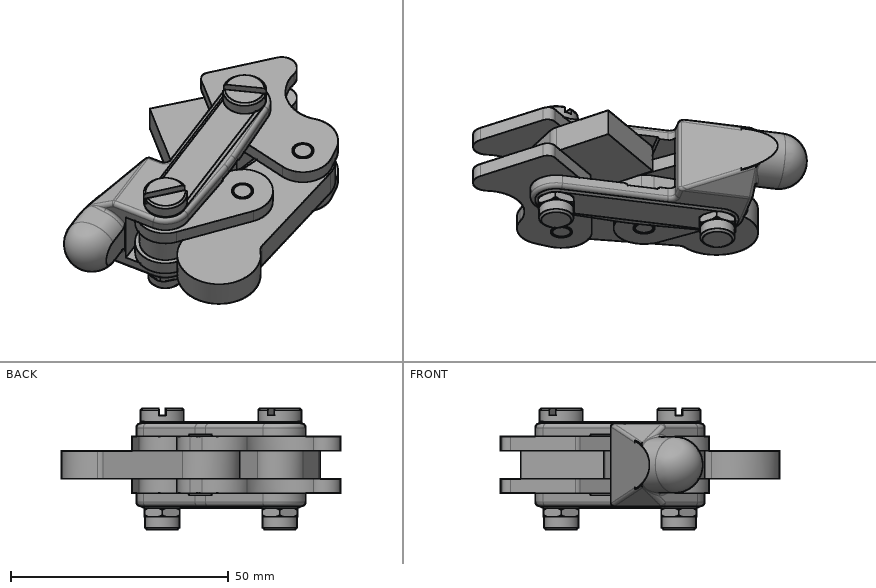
import cadquery as cq
import math


ARM_HALF = 3.2
PLATE_TOP = 6.5
LEVER_TOP = 9.55
RIB_TOP = 9.95
HEAD_TOP = 13.05
NUT_BOTTOM = -11.95
SCREW_BOTTOM = -15.0

SCREW_SPACING = 38.05
LEVER_ANGLE = -44.7
SCREW_A = (0, 0)
SCREW_B = (
    SCREW_SPACING * math.cos(math.radians(LEVER_ANGLE)),
    SCREW_SPACING * math.sin(math.radians(LEVER_ANGLE)),
)
BASE_PIN = (16.7, 9.1)
LINK_PIN = (25.4, -7.8)
PIN_RADIUS = 2.35
PIN_RIM_CHAMFER = 0.3
END_RADIUS = 7.0
BUSHING_RADIUS = 6.0

HOOK_CENTER = (-10.5, 11.9)
HOOK_RADIUS = 3.5
SADDLE_CENTER = (-0.3, 19.35)
CREST_CENTER = (13.9, 11.1)
PLATE_BOTTOM_Y = -7.0
PLATE_BOTTOM_LEFT_X = -13.65
PLATE_SLOPE = 31.6
PLATE_CORNER_RADIUS = 2.0

BLOCK_LEFT = -9.35
BLOCK_RIGHT = 9.75
BLOCK_BOTTOM = -20.05
BLOCK_SHOULDER = -4.75
BLOCK_SHOULDER_RADIUS = 4.45

ARM_RADIUS = 7.5
ARM_TIP_CENTER = (40.65, -17.85)
ARM_TIP_RADIUS = 9.6
ARM_EDGE_NORMAL = 40.3
ARM_NECK_RADIUS = 2.05

CROWN_V = 6.9
CROWN_FLAT = 3.35
CROWN_START_V = 6.0
LEVER_EDGE_ROUND = 1.0
RIB_HALF_WIDTH = 4.9
RIB_TAPER = 60.0
RECESS_LENGTH = 7.95
RECESS_DEPTH = 0.5

FOOT_START_U = 26.35
FOOT_END_U = SCREW_SPACING + BUSHING_RADIUS
FOOT_CORNER_V = -10.8
FOOT_INNER_V = -7.1
FOOT_SLANT = 22.0
FOOT_SIDE_SLOPE = 35.0
FOOT_NOTCH_RADIUS = 1.4
KNOB_RADIUS = 6.45
KNOB_NECK_RADIUS = 0.7
KNOB_SHAFT_LENGTH = 9.6
KNOB_U = 49.6
KNOB_V = -13.0
KNOB_FLAT_V = KNOB_V + 5.55

HEAD_RADIUS = 5.0
HEAD_CHAMFER = 0.5
SHANK_RADIUS = 4.0
SHANK_CHAMFER = 0.55
NUT_FLATS = 8.2
NUT_CHAMFER = 0.4
SLOT_WIDTH = 1.65
SLOT_DEPTH = 1.65
SLOT_ANGLE_A = 66.0
SLOT_ANGLE_B = 91.0


def on_circle(center, radius, degrees):
    """Point of a circle at the given direction."""
    angle = math.radians(degrees)
    return (center[0] + radius * math.cos(angle), center[1] + radius * math.sin(angle))


def direction(start, end):
    """Direction from one point to another, degrees."""
    return math.degrees(math.atan2(end[1] - start[1], end[0] - start[0]))


def right_normal(start, start_radius, end, end_radius):
    """Direction in which the right-hand common tangent of two circles faces, degrees."""
    taper = math.degrees(math.asin((start_radius - end_radius) / math.dist(start, end)))
    return direction(start, end) - 90 + taper


def arc_to(outline, center, radius, start_degrees, end_degrees):
    """Continue an outline along a circle."""
    middle = on_circle(center, radius, (start_degrees + end_degrees) / 2)
    return outline.threePointArc(middle, on_circle(center, radius, end_degrees))


def slab(bottom, outline, top):
    return outline.extrude(top - bottom).translate((0, 0, bottom))


def both_sides(body):
    return body.union(body.mirror("XY"))


def round_upright_edge(body, point, radius):
    """Round the upright edge that passes nearest to a point in plan."""
    height = body.val().BoundingBox().center.z
    nearest = cq.selectors.NearestToPointSelector((point[0], point[1], height))
    return body.edges("|Z").edges(nearest).fillet(radius)


def pill(start, end, radius, bottom, top):
    """Straight bar with round ends."""
    length = math.dist(start, end)
    bar = cq.Workplane("XY").slot2D(length + 2 * radius, 2 * radius).extrude(top - bottom)
    middle = ((start[0] + end[0]) / 2, (start[1] + end[1]) / 2, bottom)
    return bar.rotate((0, 0, 0), (0, 0, 1), direction(start, end)).translate(middle)


def cut_pin_rim(body, center):
    """Shallow V groove around the flush end of a pin."""
    groove = (
        cq.Workplane("XZ")
        .moveTo(PIN_RADIUS - PIN_RIM_CHAMFER, PLATE_TOP)
        .lineTo(PIN_RADIUS + PIN_RIM_CHAMFER / 2, PLATE_TOP)
        .lineTo(PIN_RADIUS, PLATE_TOP - PIN_RIM_CHAMFER)
        .close()
        .revolve(360, (0, 0, 0), (0, 1, 0))
        .translate((center[0], center[1], 0))
    )
    return body.cut(groove)


def base_plate():
    hook_side = direction(HOOK_CENTER, SADDLE_CENTER)
    crest_side = direction(CREST_CENTER, SADDLE_CENTER)
    saddle_radius = math.dist(HOOK_CENTER, SADDLE_CENTER) - HOOK_RADIUS
    crest_tangent = direction(CREST_CENTER, BASE_PIN) + 90
    lower_normal = PLATE_SLOPE - 90
    lower_tangent = on_circle(BASE_PIN, END_RADIUS, lower_normal)
    heel_run = (lower_tangent[1] - PLATE_BOTTOM_Y) / math.tan(math.radians(PLATE_SLOPE))
    heel = (lower_tangent[0] - heel_run, PLATE_BOTTOM_Y)
    corner = (PLATE_BOTTOM_LEFT_X, PLATE_BOTTOM_Y)

    outline = cq.Workplane("XY").moveTo(*on_circle(HOOK_CENTER, HOOK_RADIUS, 180))
    outline = arc_to(outline, HOOK_CENTER, HOOK_RADIUS, 180, hook_side)
    outline = arc_to(outline, SADDLE_CENTER, saddle_radius, hook_side - 180, crest_side - 180)
    outline = arc_to(outline, CREST_CENTER, END_RADIUS, crest_side, crest_tangent)
    outline = outline.lineTo(*on_circle(BASE_PIN, END_RADIUS, crest_tangent))
    outline = arc_to(outline, BASE_PIN, END_RADIUS, crest_tangent, lower_normal)
    outline = outline.lineTo(*heel).lineTo(*corner).close()

    plate = slab(ARM_HALF, outline, PLATE_TOP)
    plate = round_upright_edge(plate, corner, PLATE_CORNER_RADIUS)
    plate = round_upright_edge(plate, heel, PLATE_CORNER_RADIUS)
    return cut_pin_rim(plate, BASE_PIN)


def tangent_direction(point, side):
    """Direction on the bushing of screw A where a line from a point touches it."""
    spread = math.degrees(math.acos(BUSHING_RADIUS / math.dist(SCREW_A, point)))
    return direction(SCREW_A, point) + side * spread


def base_block():
    left_shoulder = (BLOCK_LEFT, BLOCK_SHOULDER)
    right_shoulder = (BLOCK_RIGHT, BLOCK_SHOULDER)
    left_touch = tangent_direction(left_shoulder, -1) + 360
    right_touch = tangent_direction(right_shoulder, 1)
    outline = cq.Workplane("XY").moveTo(BLOCK_LEFT, BLOCK_BOTTOM).lineTo(*left_shoulder)
    outline = outline.lineTo(*on_circle(SCREW_A, BUSHING_RADIUS, left_touch))
    outline = arc_to(outline, SCREW_A, BUSHING_RADIUS, left_touch, right_touch)
    outline = outline.lineTo(*right_shoulder).lineTo(BLOCK_RIGHT, BLOCK_BOTTOM).close()
    block = slab(-ARM_HALF, outline, ARM_HALF)
    return round_upright_edge(block, left_shoulder, BLOCK_SHOULDER_RADIUS)


def arm():
    normal = math.radians(ARM_EDGE_NORMAL)
    tip_offset = (ARM_TIP_CENTER[0] - BASE_PIN[0]) * math.cos(normal)
    tip_offset += (ARM_TIP_CENTER[1] - BASE_PIN[1]) * math.sin(normal)
    neck_angle = math.degrees(math.acos((ARM_RADIUS - tip_offset) / ARM_TIP_RADIUS))
    neck_direction = ARM_EDGE_NORMAL + neck_angle
    under_normal = right_normal(LINK_PIN, ARM_RADIUS, ARM_TIP_CENTER, ARM_TIP_RADIUS)
    inner_normal = direction(LINK_PIN, BASE_PIN) + 90 - 360
    neck = on_circle(ARM_TIP_CENTER, ARM_TIP_RADIUS, neck_direction)

    outline = cq.Workplane("XY").moveTo(*on_circle(BASE_PIN, ARM_RADIUS, ARM_EDGE_NORMAL))
    outline = outline.lineTo(*neck)
    outline = arc_to(outline, ARM_TIP_CENTER, ARM_TIP_RADIUS, neck_direction, under_normal)
    outline = outline.lineTo(*on_circle(LINK_PIN, ARM_RADIUS, under_normal))
    outline = arc_to(outline, LINK_PIN, ARM_RADIUS, under_normal, inner_normal)
    outline = outline.lineTo(*on_circle(BASE_PIN, ARM_RADIUS, inner_normal))
    outline = arc_to(outline, BASE_PIN, ARM_RADIUS, inner_normal, ARM_EDGE_NORMAL - 360)
    outline = outline.close()
    body = slab(-ARM_HALF, outline, ARM_HALF)
    return round_upright_edge(body, neck, ARM_NECK_RADIUS)


def link_plate():
    plate = pill(LINK_PIN, SCREW_B, END_RADIUS, ARM_HALF, PLATE_TOP)
    return cut_pin_rim(plate, LINK_PIN)


def lever_blank():
    """Solid lever with square edges and an oversize foot."""
    r = BUSHING_RADIUS
    foot_v = KNOB_V - 2 * KNOB_RADIUS
    crown_start = (SCREW_SPACING - CROWN_FLAT) / 2
    tilt = math.degrees(math.atan2(CROWN_V - CROWN_START_V, crown_start))
    screw_b = (SCREW_SPACING, 0)
    outline = cq.Workplane("XY").moveTo(0, -r).lineTo(FOOT_START_U, -r)
    outline = outline.lineTo(FOOT_START_U, foot_v).lineTo(FOOT_END_U, foot_v).lineTo(FOOT_END_U, 0)
    outline = arc_to(outline, screw_b, r, 0, 90 - tilt)
    outline = outline.lineTo(crown_start + CROWN_FLAT, CROWN_V).lineTo(crown_start, CROWN_V)
    outline = outline.lineTo(*on_circle(SCREW_A, r, 90 + tilt))
    outline = arc_to(outline, SCREW_A, r, 90 + tilt, 270).close()
    blank = slab(-LEVER_TOP, outline, LEVER_TOP)
    return round_upright_edge(blank, (FOOT_START_U, -r), FOOT_NOTCH_RADIUS)


def foot_slant_cutter():
    """Everything beyond the slanted face of the foot, upright."""
    reach = SCREW_SPACING
    drop = reach * math.tan(math.radians(FOOT_SLANT))
    outline = (
        cq.Workplane("XY")
        .moveTo(FOOT_START_U, FOOT_CORNER_V)
        .lineTo(FOOT_START_U + reach, FOOT_CORNER_V - drop)
        .lineTo(FOOT_START_U + reach, FOOT_CORNER_V - reach)
        .lineTo(FOOT_START_U, FOOT_CORNER_V - reach)
        .close()
    )
    return slab(-reach, outline, reach)


def foot_side_cutter():
    """Everything above the tapered upper side of the foot."""
    reach = SCREW_SPACING
    fall = reach * math.tan(math.radians(FOOT_SIDE_SLOPE))
    return (
        cq.Workplane("YZ")
        .moveTo(FOOT_CORNER_V, LEVER_TOP)
        .lineTo(FOOT_CORNER_V - reach, LEVER_TOP - fall)
        .lineTo(FOOT_CORNER_V - reach, LEVER_TOP + reach)
        .lineTo(FOOT_CORNER_V, LEVER_TOP + reach)
        .close()
        .extrude(2 * reach)
    )


def knob():
    shaft = cq.Workplane("YZ").circle(KNOB_RADIUS).extrude(KNOB_SHAFT_LENGTH)
    shaft = shaft.translate((-KNOB_SHAFT_LENGTH, 0, 0))
    body = shaft.union(cq.Workplane("XY").sphere(KNOB_RADIUS)).translate((KNOB_U, KNOB_V, 0))
    flat = cq.Workplane("XY").box(
        SCREW_SPACING, KNOB_RADIUS, 2 * KNOB_RADIUS, centered=(True, False, True)
    )
    return body.cut(flat.translate((KNOB_U, KNOB_FLAT_V, 0)))


def round_knob_neck(body):
    """Blend the knob into the end face of the foot, above and below."""
    neck_v, neck_z = on_circle((KNOB_V, 0), KNOB_RADIUS, 60)
    neck = body.newObject([])
    for z in (neck_z, -neck_z):
        nearest = cq.selectors.NearestToPointSelector((FOOT_END_U, neck_v, z))
        neck = neck.add(body.edges("%CIRCLE").edges(nearest))
    return body.newObject(neck.vals()).fillet(KNOB_NECK_RADIUS)


def lever_rib():
    """Raised rib with sloping sides on the upper cheek."""
    outline = cq.Workplane("XY").slot2D(SCREW_SPACING + 2 * RIB_HALF_WIDTH, 2 * RIB_HALF_WIDTH)
    rib = outline.extrude(RIB_TOP - LEVER_TOP, taper=RIB_TAPER)
    return rib.translate((SCREW_SPACING / 2, 0, LEVER_TOP))


def recess_cutter():
    """Shallow cross groove with bevelled ends in the inner face of the upper cheek."""
    half = RECESS_LENGTH / 2
    groove = (
        cq.Workplane("XZ")
        .moveTo(-half, PLATE_TOP)
        .lineTo(half, PLATE_TOP)
        .lineTo(half - RECESS_DEPTH, PLATE_TOP + RECESS_DEPTH)
        .lineTo(RECESS_DEPTH - half, PLATE_TOP + RECESS_DEPTH)
        .close()
        .extrude(2 * CROWN_V, both=True)
    )
    return groove.translate((SCREW_SPACING / 2, 0, 0))


def lever():
    side = foot_side_cutter()
    slant = foot_slant_cutter()
    body = lever_blank().cut(slant).cut(side).cut(side.mirror("XY"))

    front_corner = cq.selectors.NearestToPointSelector((FOOT_START_U, FOOT_CORNER_V, 0))
    body = body.edges("not |Z").add(body.edges(front_corner)).fillet(LEVER_EDGE_ROUND)

    gap = cq.Workplane("XY").box(
        2 * SCREW_SPACING, SCREW_SPACING, 2 * PLATE_TOP, centered=(True, False, True)
    )
    body = body.cut(gap.translate((SCREW_SPACING / 2, FOOT_INNER_V, 0)))
    body = round_knob_neck(body.union(knob().cut(slant)))
    body = body.union(both_sides(lever_rib()))
    body = body.cut(recess_cutter()).cut(recess_cutter().mirror("XY"))
    return body.rotate((0, 0, 0), (0, 0, 1), LEVER_ANGLE)


def screw(center, slot_angle):
    """Slotted screw with its hexagon nut."""
    head = slab(RIB_TOP, cq.Workplane("XY").circle(HEAD_RADIUS), HEAD_TOP)
    head = head.faces(">Z").chamfer(HEAD_CHAMFER)
    slot = cq.Workplane("XY").box(3 * HEAD_RADIUS, SLOT_WIDTH, 2 * SLOT_DEPTH)
    slot = slot.rotate((0, 0, 0), (0, 0, 1), slot_angle).translate((0, 0, HEAD_TOP))
    shank = slab(SCREW_BOTTOM, cq.Workplane("XY").circle(SHANK_RADIUS), RIB_TOP)
    shank = shank.faces("<Z").chamfer(SHANK_CHAMFER)
    nut_corners = NUT_FLATS / math.cos(math.radians(30))
    nut = slab(NUT_BOTTOM, cq.Workplane("XY").polygon(6, nut_corners), -RIB_TOP)
    nut = nut.rotate((0, 0, 0), (0, 0, 1), 30)
    nut_rims = slab(NUT_BOTTOM, cq.Workplane("XY").circle(nut_corners / 2), -RIB_TOP)
    nut = nut.intersect(nut_rims.faces("|Z").chamfer(NUT_CHAMFER))
    return head.cut(slot).union(shank).union(nut).translate((center[0], center[1], 0))


def bushing(center):
    disc = slab(-ARM_HALF, cq.Workplane("XY").circle(BUSHING_RADIUS), ARM_HALF)
    return disc.translate((center[0], center[1], 0))


result = (
    both_sides(base_plate())
    .union(base_block())
    .union(arm())
    .union(both_sides(link_plate()))
    .union(bushing(SCREW_B))
    .union(lever())
    .union(screw(SCREW_A, SLOT_ANGLE_A))
    .union(screw(SCREW_B, SLOT_ANGLE_B))
)